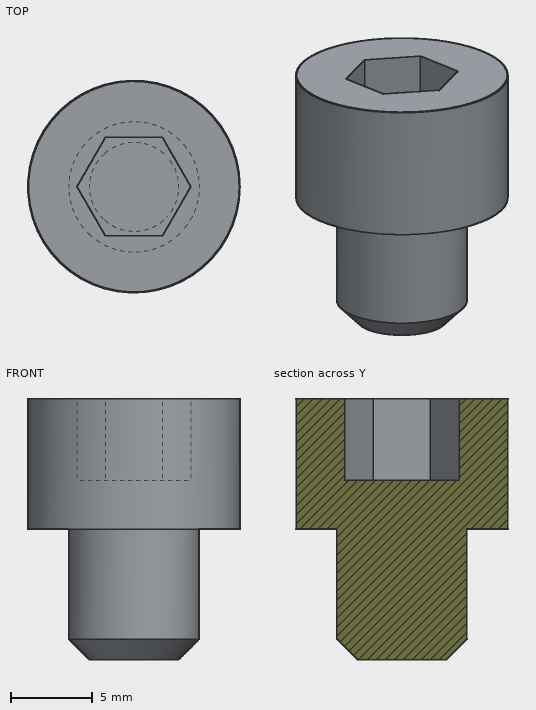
import cadquery as cq
import math

head_diameter = 13.0
head_height = 8.0
rim_bevel_width = 0.05
rim_bevel_angle = 30.0
shank_diameter = 8.0
shank_length = 8.0
tip_chamfer = 1.27
hex_across_flats = 6.04
hex_depth = 5.0

hex_sides = 6
hex_across_corners = hex_across_flats / math.cos(math.pi / hex_sides)
rim_bevel_height = rim_bevel_width * math.tan(math.radians(rim_bevel_angle))


def make_head():
    """Head standing on the XY plane, revolved with a bevelled top rim."""
    head_radius = head_diameter / 2
    profile = (
        cq.Workplane("XZ")
        .lineTo(head_radius, 0)
        .lineTo(head_radius, head_height - rim_bevel_height)
        .lineTo(head_radius - rim_bevel_width, head_height)
        .lineTo(0, head_height)
        .close()
    )
    return profile.revolve(360, (0, 0, 0), (0, 1, 0))


def make_shank():
    """Shank hanging below the head, with a conical tip."""
    shank = cq.Workplane("XY").circle(shank_diameter / 2).extrude(-shank_length)
    return shank.faces("<Z").edges().chamfer(tip_chamfer)


def make_socket():
    """Hexagonal drive socket, two corners along X, sunk from the head top."""
    return (
        cq.Workplane("XY")
        .workplane(offset=head_height)
        .polygon(hex_sides, hex_across_corners)
        .extrude(-hex_depth)
    )


result = make_head().union(make_shank()).cut(make_socket())